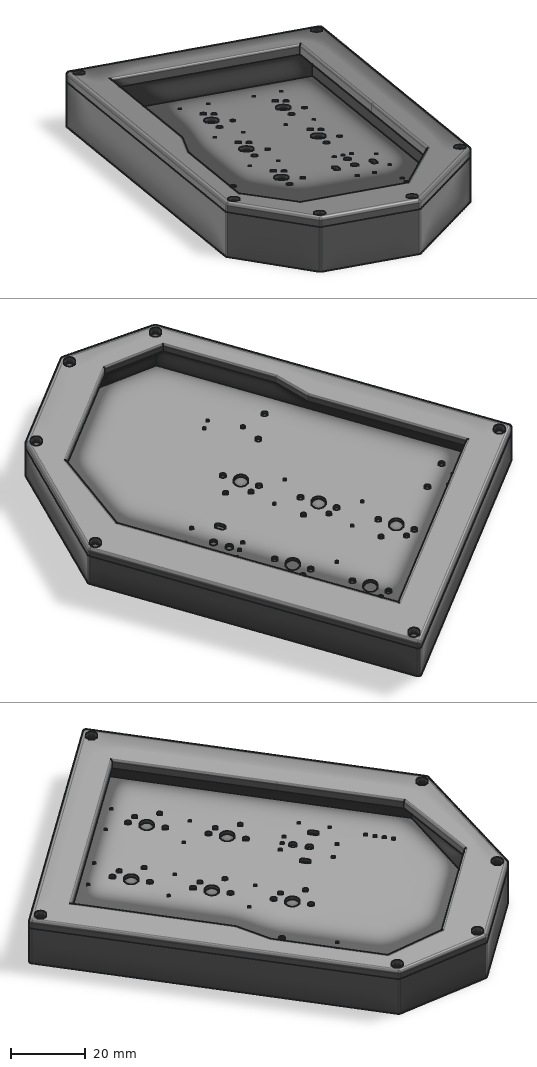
import cadquery as cq

length = 121.8
width = 76.0
height = 16.0
edge_radius = 1.0

back_nose_x = 94.3
front_nose_x = 101.5
nose_back_y = 48.0
nose_front_y = 18.4

outer_outline = [
    (0, 0),
    (front_nose_x, 0),
    (length, nose_front_y),
    (length, nose_back_y),
    (back_nose_x, width),
    (0, width),
]

lid_thickness = 2.9
housing_height = height - lid_thickness
floor_thickness = 2.5
board_thickness = 1.2

side_wall = 5.0
nose_wall = 6.0
cavity_back_nose_x = 90.9
cavity_front_nose_x = 99.4
cavity_nose_back_y = 45.1
cavity_nose_front_y = 21.1

cavity_outline = [
    (side_wall, side_wall),
    (cavity_front_nose_x, side_wall),
    (length - nose_wall, cavity_nose_front_y),
    (length - nose_wall, cavity_nose_back_y),
    (cavity_back_nose_x, width - side_wall),
    (side_wall, width - side_wall),
]

window_left = 10.1
window_right = 109.4
window_back = 64.9
window_back_lean = 0.06
window_front = 6.1
window_step_front = 9.0
window_step_start = 55.0
window_step_end = 65.2
window_back_nose_x = 89.9
window_front_nose_x = 97.1
window_nose_back_y = 50.0
window_nose_front_y = 18.3
window_edge_radius = 0.6

window_outline = [
    (window_left, window_step_front),
    (window_step_start, window_step_front),
    (window_step_end, window_front),
    (window_front_nose_x, window_front),
    (window_right, window_nose_front_y),
    (window_right, window_nose_back_y),
    (window_back_nose_x, window_back),
    (window_step_start, window_back),
    (window_left, window_back - window_back_lean),
]

screw_hole_diameter = 3.2
screw_inset = 2.8
screw_nose_inset = 1.1
screw_points = [
    (screw_inset, screw_inset),
    (front_nose_x - screw_nose_inset, screw_inset),
    (length - screw_inset, nose_front_y + screw_nose_inset),
    (length - screw_inset, nose_back_y - screw_nose_inset),
    (back_nose_x - screw_nose_inset, width - screw_inset),
    (screw_inset, width - screw_inset),
]

switch_x = 21.5
switch_y = 33.3
switch_pitch_x = 22.0
switch_pitch_y = 21.3
column_x = [switch_x + column * switch_pitch_x for column in range(3)]
lower_row_y = switch_y
upper_row_y = switch_y + switch_pitch_y
switch_centers = [(x, lower_row_y) for x in column_x] + [(x, upper_row_y) for x in column_x[:2]]

switch_stem_diameter = 4.0
switch_post_diameter = 1.7
switch_post_spacing = 5.1
switch_pin_diameter = 1.5
switch_pins = [(-3.8, 2.5), (2.5, 5.1)]

encoder_x = 66.0
encoder_y = 54.8
encoder_pin_diameter = 1.0
encoder_pins = [(-7.4, -2.5), (-7.4, 0), (-7.4, 2.5), (7.1, -2.5), (7.1, 2.5)]
encoder_post_diameter = 2.1
encoder_posts = [(0, 0), (-4.5, 0)]
encoder_slot_length = 3.0
encoder_slot_width = 1.7
encoder_slot_spacing = 11.1

lead_diameter = 0.8
diode_span = 8.4
diode_offset_x = -11.0
upper_diode_y = 54.2
upright_diodes = [(x + diode_offset_x, lower_row_y) for x in column_x]
upright_diodes.append((column_x[1] + diode_offset_x, upper_diode_y))
corner_diode = (11.1, 54.8)
corner_diode_span = 8.0
flat_diode = (65.7, 63.3)
light_leads = [(80.5, 17.5), (80.5, 20.2)]

header_diameter = 1.0
header_count = 4
header_pitch = 2.5
header_start = (79.9, 62.4)

jack_mirror_x = 41.7
jack_post_diameter = 1.7
jack_posts = [(24.0, 18.9), (25.1, 10.5)]
jack_pin_diameter = 1.2
jack_pin = (29.2, 16.5)
jack_extra_pin_y = 12.8


def prism(outline, bottom, thickness):
    return cq.Workplane("XY").workplane(offset=bottom).polyline(outline).close().extrude(thickness)


def make_housing():
    block = prism(outer_outline, 0, housing_height).edges("|Z").fillet(edge_radius)
    return block.cut(prism(cavity_outline, floor_thickness, height))


def make_lid():
    lid_bottom = housing_height
    plate = prism(outer_outline, lid_bottom, lid_thickness).edges("|Z").fillet(edge_radius)
    plate = plate.faces(">Z").edges().fillet(edge_radius)
    plate = plate.cut(prism(window_outline, lid_bottom, lid_thickness))
    window_rim = plate.faces(">Z").val().innerWires()[0]
    plate = plate.newObject(window_rim.Edges()).fillet(window_edge_radius)
    screws = cq.Workplane("XY").workplane(offset=lid_bottom).pushPoints(screw_points)
    return plate.cut(screws.circle(screw_hole_diameter / 2).extrude(lid_thickness))


def shifted(points, center):
    return [(center[0] + x, center[1] + y) for x, y in points]


def lead_pair(center, span, upright=True):
    half = span / 2
    offsets = [(0, -half), (0, half)] if upright else [(-half, 0), (half, 0)]
    return shifted(offsets, center)


def drill(board, points, diameter):
    cutters = cq.Workplane("XY").workplane(offset=floor_thickness).pushPoints(points)
    return board.cut(cutters.circle(diameter / 2).extrude(board_thickness))


def cut_switches(board):
    posts = [(-switch_post_spacing, 0), (switch_post_spacing, 0)]
    for center in switch_centers:
        board = drill(board, [center], switch_stem_diameter)
        board = drill(board, shifted(posts, center), switch_post_diameter)
        board = drill(board, shifted(switch_pins, center), switch_pin_diameter)
    return board


def cut_encoder(board):
    center = (encoder_x, encoder_y)
    board = drill(board, shifted(encoder_pins, center), encoder_pin_diameter)
    board = drill(board, shifted(encoder_posts, center), encoder_post_diameter)
    slot_offset = encoder_slot_spacing / 2
    slot_centers = shifted([(0, -slot_offset), (0, slot_offset)], center)
    slots = cq.Workplane("XY").workplane(offset=floor_thickness).pushPoints(slot_centers)
    return board.cut(slots.slot2D(encoder_slot_length, encoder_slot_width).extrude(board_thickness))


def cut_leads(board):
    points = list(light_leads)
    for center in upright_diodes:
        points += lead_pair(center, diode_span)
    points += lead_pair(corner_diode, corner_diode_span)
    points += lead_pair(flat_diode, diode_span, upright=False)
    return drill(board, points, lead_diameter)


def cut_header(board):
    start_x, start_y = header_start
    points = [(start_x + i * header_pitch, start_y) for i in range(header_count)]
    return drill(board, points, header_diameter)


def cut_jacks(board):
    for side in (-1, 1):
        posts = [(jack_mirror_x + side * x, y) for x, y in jack_posts]
        board = drill(board, posts, jack_post_diameter)
        pin_x = jack_mirror_x + side * jack_pin[0]
        board = drill(board, [(pin_x, jack_pin[1])], jack_pin_diameter)
    extra_pin = (jack_mirror_x - jack_pin[0], jack_extra_pin_y)
    return drill(board, [extra_pin], jack_pin_diameter)


def make_board():
    board = prism(cavity_outline, floor_thickness, board_thickness)
    for cut_feature in (cut_switches, cut_encoder, cut_leads, cut_header, cut_jacks):
        board = cut_feature(board)
    return board


housing = make_housing()
circuit_board = make_board()
lid = make_lid()

result = cq.Compound.makeCompound([housing.val(), circuit_board.val(), lid.val()])